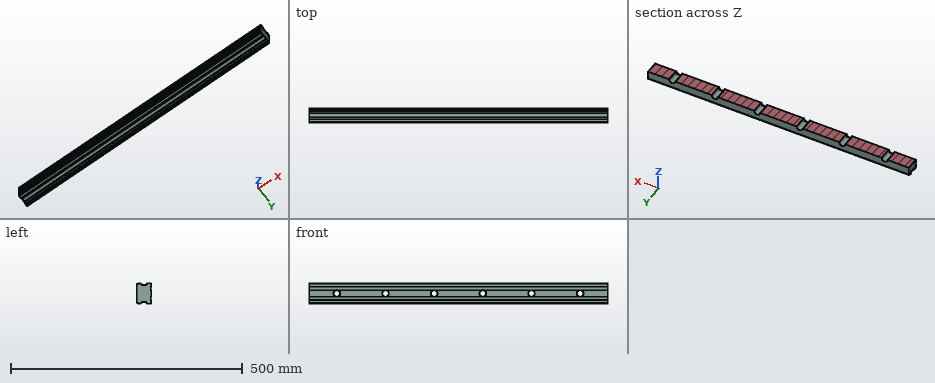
import cadquery as cq

length = 645.0
height = 32.0
width = 45.0

half_width = width / 2
front_y = -height / 2
back_y = height / 2

front_chamfer = 2.0

back_shoulder_z = 19.8
back_step_y = 13.0
back_step_z = 21.2
crest_back_y = 12.3
crest_front_y = 8.7

groove_depth = 3.8
lip_y = 5.0
lip_z = 19.9
groove_floor_back_y = 4.3
groove_floor_front_y = -3.9

relief_depth = 1.0
relief_inner_z = 7.0
relief_outer_z = 15.0

hole_diameter = 14.0
hole_pitch = 105.0
hole_count = 6


def make_rail():
    """Extrude the section, symmetric about Z = 0, along X and centred on the origin."""
    groove_floor_z = half_width - groove_depth
    relief_floor_y = front_y + relief_depth
    upper_half = [
        (back_y, back_shoulder_z),
        (back_step_y, back_step_z),
        (crest_back_y, half_width),
        (crest_front_y, half_width),
        (lip_y, lip_z),
        (groove_floor_back_y, groove_floor_z),
        (groove_floor_front_y, groove_floor_z),
        (groove_floor_front_y - groove_depth, half_width),
        (front_y + front_chamfer, half_width),
        (front_y, half_width - front_chamfer),
        (front_y, relief_outer_z),
        (relief_floor_y, relief_outer_z - relief_depth),
        (relief_floor_y, relief_inner_z),
        (front_y, relief_inner_z),
    ]
    lower_half = [(y, -z) for y, z in reversed(upper_half)]
    section = cq.Workplane("YZ").polyline(upper_half + lower_half).close()
    return section.extrude(length / 2, both=True)


def make_holes():
    """Row of mounting holes running through the rail from front to back."""
    return (
        cq.Workplane("XZ")
        .rarray(hole_pitch, 1, hole_count, 1)
        .circle(hole_diameter / 2)
        .extrude(height, both=True)
    )


result = make_rail().cut(make_holes())